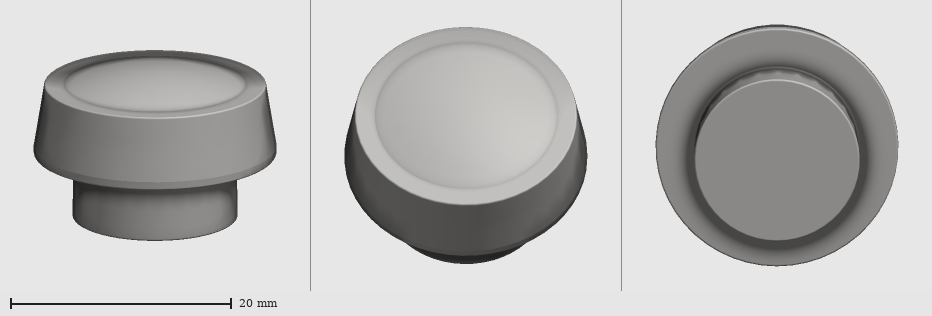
import cadquery as cq

head_radius = 11.0
head_top_radius = 10.05
band_height = 0.8
head_height = 6.62
head_edge_round = 0.18

dome_radius = 8.25
dome_height = 1.4

stem_bottom_radius = 7.5
stem_top_radius = 7.37
stem_height = 5.96
stem_edge_round = 0.18
neck_round = 0.18

band_top = stem_height + band_height
rim_height = stem_height + head_height
total_height = rim_height + dome_height
dome_sphere_radius = (dome_radius**2 + dome_height**2) / (2 * dome_height)


def make_body():
    """Revolve the sharp-edged stem, head and spherical dome about Z."""
    return (
        cq.Workplane("XZ")
        .lineTo(stem_bottom_radius, 0)
        .lineTo(stem_top_radius, stem_height)
        .lineTo(head_radius, stem_height)
        .lineTo(head_radius, band_top)
        .lineTo(head_top_radius, rim_height)
        .lineTo(dome_radius, rim_height)
        .radiusArc((0, total_height), -dome_sphere_radius)
        .close()
        .revolve(360, (0, 0, 0), (0, 1, 0))
    )


def round_edge(body, radius, height, rounding):
    """Fillet the circular edge with the given radius and height."""
    tolerance = 0.002

    def is_wanted(edge):
        same_height = abs(edge.Center().z - height) < tolerance
        return same_height and abs(edge.radius() - radius) < tolerance

    return body.edges("%CIRCLE").filter(is_wanted).fillet(rounding)


body = make_body()
body = round_edge(body, stem_bottom_radius, 0, stem_edge_round)
body = round_edge(body, stem_top_radius, stem_height, neck_round)
body = round_edge(body, head_radius, stem_height, head_edge_round)
body = round_edge(body, head_top_radius, rim_height, head_edge_round)

result = body